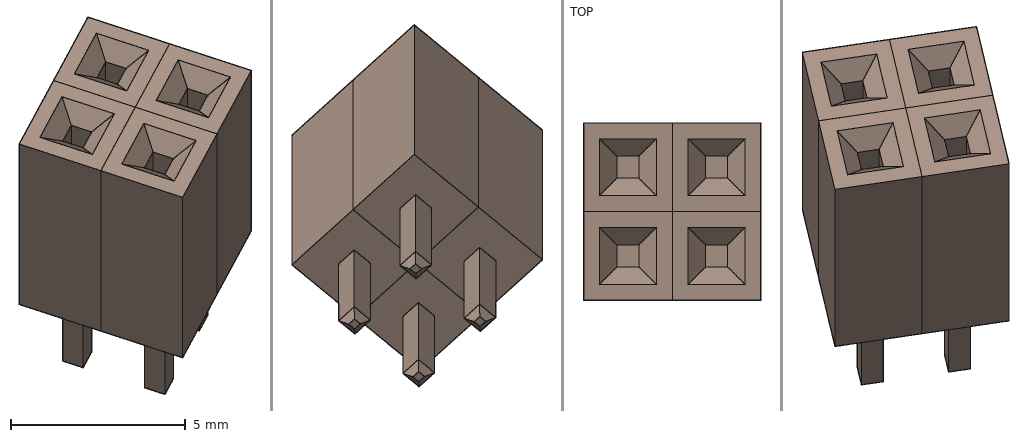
import cadquery as cq

total_height = 10.7
block_width = 5.08
cells_per_side = 2
pitch = block_width / cells_per_side

pin_length = 3.4
pin_width = 0.64
tip_chamfer = 0.2

cell_height = total_height - pin_length
mouth_width = 1.63
bore_width = 0.63
lead_in_depth = (mouth_width - bore_width) / 2
socket_depth = cell_height / 2


def square_prism(width, bottom, height):
    """Square prism centred on the Z axis, rising from the given level."""
    return cq.Workplane("XY").workplane(offset=bottom).rect(width, width).extrude(height)


def make_socket():
    """Blind square bore with a pyramidal lead-in, to be cut from the top face."""
    bore = square_prism(bore_width, cell_height - socket_depth, socket_depth)
    lead_in = (
        cq.Workplane("XY")
        .workplane(offset=cell_height - lead_in_depth)
        .rect(bore_width, bore_width)
        .workplane(offset=lead_in_depth)
        .rect(mouth_width, mouth_width)
        .loft(ruled=True)
    )
    return bore.union(lead_in)


def make_pin():
    """Square pin hanging below the cell, chamfered around its tip."""
    pin = square_prism(pin_width, -pin_length, pin_length)
    return pin.faces("<Z").chamfer(tip_chamfer)


def make_contact_cell():
    """One square cell with its socket on top and its pin below, as one solid."""
    cell = square_prism(pitch, 0, cell_height)
    return cell.cut(make_socket()).union(make_pin())


first_centre = (pitch - block_width) / 2
contact_cells = []
for column in range(cells_per_side):
    for row in range(cells_per_side):
        position = (first_centre + column * pitch, first_centre + row * pitch, 0)
        contact_cells.append(make_contact_cell().translate(position).solids().val())

result = cq.Compound.makeCompound(contact_cells)